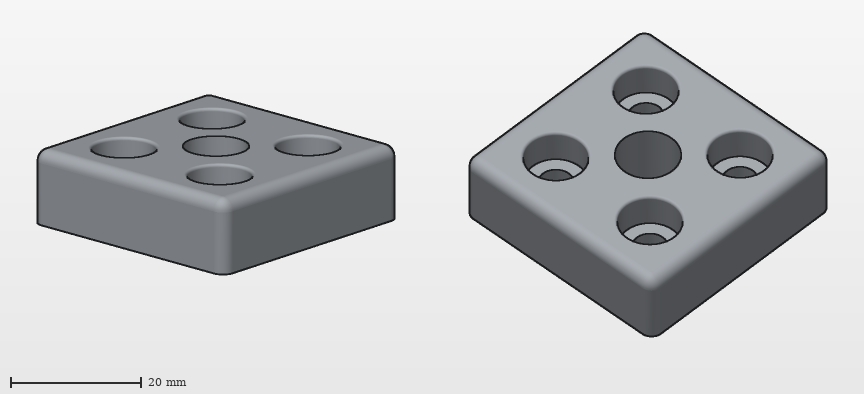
import cadquery as cq

side = 40.0
thickness = 12.0
edge_radius = 2.0

centre_hole_diameter = 10.2

screw_spacing = 20.0
screws_per_side = 2
screw_hole_diameter = 5.5
counterbore_diameter = 10.0
counterbore_depth = 5.7
rim_radius = 0.5


def rounded_plate():
    """Square plate resting on Z = 0, rounded on its sides and top, sharp underneath."""
    plate = cq.Workplane("XY").box(side, side, thickness, centered=(True, True, False))
    return plate.edges("|Z or >Z").fillet(edge_radius)


def add_screw_holes(plate):
    """Counterbored through holes whose rims are rounded over into the top face."""
    drilled = (
        plate.faces(">Z")
        .workplane(origin=(0, 0, thickness))
        .rarray(screw_spacing, screw_spacing, screws_per_side, screws_per_side)
        .cboreHole(screw_hole_diameter, counterbore_diameter, counterbore_depth)
    )
    return drilled.faces(">Z").edges("%CIRCLE").fillet(rim_radius)


def add_centre_hole(plate):
    """Plain through hole with a sharp rim, so it is cut after the screw hole rims are rounded."""
    return plate.faces(">Z").workplane(origin=(0, 0, thickness)).hole(centre_hole_diameter)


result = add_centre_hole(add_screw_holes(rounded_plate()))